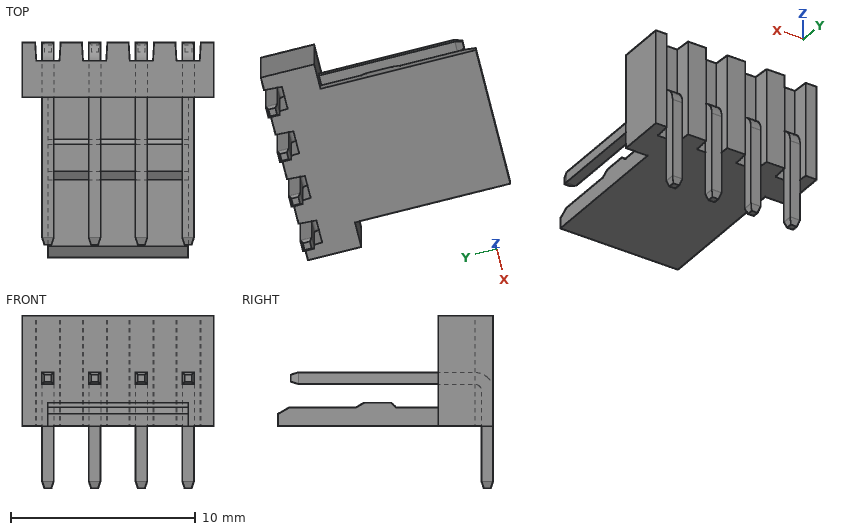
import cadquery as cq

WALL_WIDTH = 10.41
WALL_DEPTH = 3.0
WALL_HEIGHT = 6.0

TONGUE_REACH = 11.7
TONGUE_THICKNESS = 1.01
TONGUE_NOSE_HEIGHT = 0.65
NOSE_BEVEL_LENGTH = 0.61
RIDGE_HEIGHT = 0.27
RIDGE_BACK_FOOT = 5.26
RIDGE_BACK_TOP = 5.55
RIDGE_FRONT_TOP = 7.01
RIDGE_FRONT_FOOT = 7.46

PIN_COUNT = 4
PIN_PITCH = 2.54
PIN_WIDTH = 0.64
PIN_AXIS_HEIGHT = 2.6
PIN_REACH = 11.0
PIN_DROP = 3.39
TIP_LENGTH = 0.4
TIP_WIDTH = 0.39

SLOT_DEPTH = 1.0
SLOT_FLOOR_WIDTH = 1.25
SLOT_MOUTH_WIDTH = 1.37

PIN_SPAN = (PIN_COUNT - 1) * PIN_PITCH
PIN_XS = [i * PIN_PITCH - PIN_SPAN / 2 for i in range(PIN_COUNT)]
TONGUE_WIDTH = PIN_SPAN
BEND_RADIUS = SLOT_DEPTH - PIN_WIDTH / 2


def make_wall():
    wall = cq.Workplane("XY").box(WALL_WIDTH, WALL_DEPTH, WALL_HEIGHT, centered=(True, False, False))
    return wall.translate((0, -WALL_DEPTH, 0))


def make_tongue():
    """Side profile in Y-Z, starting at the wall's front face, extruded evenly about x = 0."""
    ridge_top = TONGUE_THICKNESS + RIDGE_HEIGHT
    return (
        cq.Workplane("YZ")
        .moveTo(-WALL_DEPTH, 0)
        .lineTo(-WALL_DEPTH, TONGUE_THICKNESS)
        .lineTo(-RIDGE_BACK_FOOT, TONGUE_THICKNESS)
        .lineTo(-RIDGE_BACK_TOP, ridge_top)
        .lineTo(-RIDGE_FRONT_TOP, ridge_top)
        .lineTo(-RIDGE_FRONT_FOOT, TONGUE_THICKNESS)
        .lineTo(-TONGUE_REACH + NOSE_BEVEL_LENGTH, TONGUE_THICKNESS)
        .lineTo(-TONGUE_REACH, TONGUE_NOSE_HEIGHT)
        .lineTo(-TONGUE_REACH, 0)
        .close()
        .extrude(TONGUE_WIDTH / 2, both=True)
    )


def make_slot(x):
    return (
        cq.Workplane("XY")
        .moveTo(x - SLOT_MOUTH_WIDTH / 2, 0)
        .lineTo(x - SLOT_FLOOR_WIDTH / 2, -SLOT_DEPTH)
        .lineTo(x + SLOT_FLOOR_WIDTH / 2, -SLOT_DEPTH)
        .lineTo(x + SLOT_MOUTH_WIDTH / 2, 0)
        .close()
        .extrude(WALL_HEIGHT)
    )


def make_pin_hole(x):
    """Square passage from the wall's front face to the slot floor."""
    return (
        cq.Workplane("XZ", origin=(x, -SLOT_DEPTH, PIN_AXIS_HEIGHT))
        .rect(PIN_WIDTH, PIN_WIDTH)
        .extrude(WALL_DEPTH - SLOT_DEPTH)
    )


def make_housing():
    housing = make_wall().union(make_tongue())
    for x in PIN_XS:
        housing = housing.cut(make_slot(x)).cut(make_pin_hole(x))
    return housing


def make_tip(base_plane):
    """Tapered pin end that grows along the normal of its base plane."""
    return (
        base_plane.rect(PIN_WIDTH, PIN_WIDTH)
        .workplane(offset=TIP_LENGTH)
        .rect(TIP_WIDTH, TIP_WIDTH)
        .loft(ruled=True)
    )


def make_pin(x):
    """Forward leg, quarter bend and downward leg in one sweep, with a tapered tip at each end."""
    leg_y = -PIN_WIDTH / 2
    front_end = (x, -PIN_REACH + TIP_LENGTH, PIN_AXIS_HEIGHT)
    lower_end = (x, leg_y, -PIN_DROP + TIP_LENGTH)
    path = (
        cq.Workplane("YZ", origin=(x, 0, 0))
        .moveTo(-PIN_REACH + TIP_LENGTH, PIN_AXIS_HEIGHT)
        .lineTo(leg_y - BEND_RADIUS, PIN_AXIS_HEIGHT)
        .tangentArcPoint((leg_y, PIN_AXIS_HEIGHT - BEND_RADIUS), relative=False)
        .lineTo(leg_y, -PIN_DROP + TIP_LENGTH)
    )
    shaft = cq.Workplane("XZ", origin=front_end).rect(PIN_WIDTH, PIN_WIDTH).sweep(path)
    front_tip = make_tip(cq.Workplane("XZ", origin=front_end))
    lower_tip = make_tip(cq.Workplane(cq.Plane(origin=lower_end, xDir=(1, 0, 0), normal=(0, 0, -1))))
    return shaft.union(front_tip).union(lower_tip)


housing = make_housing()
pins = [make_pin(x) for x in PIN_XS]

result = cq.Compound.makeCompound([housing.solids().val(), *[pin.solids().val() for pin in pins]])